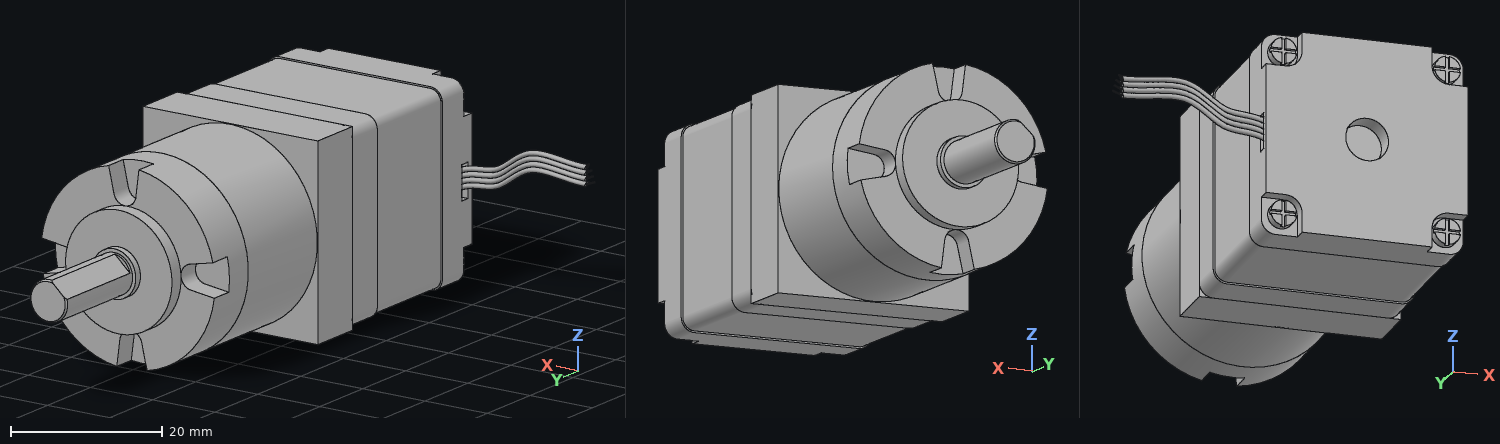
import cadquery as cq
import math


rear_cap_front = 7.0
stack_front = 22.1
motor_front = 27.95
adapter_front = 36.0
ring_front = 52.1
head_front = 59.9
boss_front = 62.0
collar_front = 63.1
flat_start = 63.6
shaft_tip = 78.5

motor_width = 28.2
motor_corner_radius = 2.0
stack_step = 0.2
rear_bore_diameter = 6.0
rear_bore_depth = 3.0

screw_inset = 2.7
screw_head_diameter = 3.6
screw_head_height = 1.4
screw_slot_width = 0.55
screw_slot_depth = 0.55
pocket_radius = 2.35
pocket_depth = 2.0

wire_count = 4
wire_diameter = 0.9
wire_pitch = 0.8
wire_y = 1.7
wire_slot_width = 1.4
wire_slot_height = 5.0
wire_slot_depth = 1.0
conductor_diameter = 0.15
conductor_rise = 0.5
conductor_overlap = 0.2
conductor_reaches = [0.4, 0.8, 1.0, 1.25]

adapter_width = 28.2
gearbox_diameter = 28.0
boss_diameter = 17.1
notch_count = 4
notch_half_angle = 10
notch_length = 3.4
first_notch_angle = 45

collar_diameter = 7.0
shaft_diameter = 6.0
shaft_flat_depth = 0.5
shaft_chamfer = 0.2
head_turn = 42.3

motor_side = motor_width / 2
screw_offset = motor_side - screw_inset
wire_end_x = -motor_side + wire_slot_depth
wire_tip_x = -33.7
wire_path = [
    (wire_end_x, 0.1),
    (-16.25, 0.95),
    (-19.15, 1.4),
    (-21.35, 2.75),
    (-24.3, 4.5),
    (-28.25, 4.6),
    (wire_tip_x, 4.15),
]


def section_at(y):
    """Sketch plane across the axis, with local x and y along X and Z."""
    return cq.Workplane("XZ", origin=(0, y, 0))


def disc(diameter, start, end):
    return section_at(start).circle(diameter / 2).extrude(start - end)


def square_block(width, start, end):
    return section_at(start).rect(width, width).extrude(start - end)


def rounded_block(width, radius, start, end):
    return square_block(width, start, end).edges("|Y").fillet(radius)


def make_motor_case():
    """Rear cap, slightly narrower lamination stack, and front cap."""
    rear_cap = rounded_block(motor_width, motor_corner_radius, 0, rear_cap_front)
    stack = rounded_block(
        motor_width - 2 * stack_step, motor_corner_radius - stack_step, rear_cap_front, stack_front
    )
    front_cap = rounded_block(motor_width, motor_corner_radius, stack_front, motor_front)
    rear_bore = disc(rear_bore_diameter, 0, rear_bore_depth)
    return rear_cap.union(stack).union(front_cap).cut(rear_bore)


def make_screw_pocket():
    """Corner pocket around the origin, open towards +X and +Z."""
    size = pocket_radius + screw_inset
    middle = screw_inset - size / 2
    pocket = section_at(0).center(middle, middle).rect(size, size).extrude(-pocket_depth)
    return pocket.edges("|Y and <X and <Z").fillet(pocket_radius)


def make_screw_head():
    """Cross-slotted head standing on the pocket floor."""
    top = pocket_depth - screw_head_height
    head = disc(screw_head_diameter, top, pocket_depth)
    for slot_size in [(screw_head_diameter, screw_slot_width), (screw_slot_width, screw_head_diameter)]:
        head = head.cut(section_at(top).rect(*slot_size).extrude(-screw_slot_depth))
    return head


def add_screws(case):
    place = cq.Vector(screw_offset, 0, screw_offset)
    pocket = make_screw_pocket().translate(place)
    head = make_screw_head().translate(place)
    for corner in range(4):
        turn = 90 * corner
        case = case.cut(pocket.rotate((0, 0, 0), (0, 1, 0), turn))
        case = case.union(head.rotate((0, 0, 0), (0, 1, 0), turn))
    return case


def make_wire_slot():
    middle_x = -motor_side + wire_slot_depth / 2
    return cq.Workplane("XY").box(wire_slot_depth, wire_slot_width, wire_slot_height).translate(
        (middle_x, wire_y, 0)
    )


def make_wire(z_shift, conductor_reach):
    """One wire and its bare end, which points outwards and up."""
    path = section_at(wire_y).spline([(x, z + z_shift) for x, z in wire_path])
    start_x, start_z = wire_path[0]
    profile = cq.Workplane("YZ", origin=(start_x, wire_y, start_z + z_shift)).circle(wire_diameter / 2)
    wire = profile.sweep(path)
    end = cq.Vector(wire_tip_x, wire_y, wire_path[-1][1] + z_shift)
    direction = cq.Vector(-conductor_reach, 0, conductor_rise).normalized()
    length = math.hypot(conductor_reach, conductor_rise) + conductor_overlap
    conductor = cq.Solid.makeCylinder(
        conductor_diameter / 2, length, end - direction * conductor_overlap, direction
    )
    return wire.union(cq.Workplane(conductor))


def make_motor():
    motor = add_screws(make_motor_case()).cut(make_wire_slot())
    for index, reach in enumerate(conductor_reaches):
        z_shift = ((wire_count - 1) / 2 - index) * wire_pitch
        motor = motor.union(make_wire(z_shift, reach))
    return motor


def make_adapter():
    return square_block(adapter_width, motor_front, adapter_front)


def make_ring():
    return disc(gearbox_diameter, adapter_front, ring_front)


def make_shaft():
    """Collar and D-shaped shaft standing on the boss of the output head."""
    collar = disc(collar_diameter, boss_front, collar_front)
    shaft = disc(shaft_diameter, collar_front, shaft_tip).faces(">Y").chamfer(shaft_chamfer)
    flat_length = shaft_tip - flat_start
    flat_cut = (
        section_at(flat_start)
        .center(0, shaft_diameter - shaft_flat_depth)
        .rect(shaft_diameter, shaft_diameter)
        .extrude(-flat_length)
    )
    return collar.union(shaft.cut(flat_cut))


def make_notch():
    """Notch in the rim around +X, with radial sides and a rounded inner end that reaches the boss."""
    half_angle = math.radians(notch_half_angle)
    round_center = boss_diameter / 2 / (1 - math.sin(half_angle))
    round_radius = round_center * math.sin(half_angle)
    side_start_x = round_center * math.cos(half_angle) ** 2
    side_end_x = gearbox_diameter / 2
    slope = math.tan(half_angle)
    return (
        section_at(head_front - notch_length)
        .moveTo(side_start_x, -side_start_x * slope)
        .lineTo(side_end_x, -side_end_x * slope)
        .lineTo(side_end_x, side_end_x * slope)
        .lineTo(side_start_x, side_start_x * slope)
        .threePointArc((round_center - round_radius, 0), (side_start_x, -side_start_x * slope))
        .close()
        .extrude(-notch_length)
    )


def make_output_head():
    """Front cover with notches in its rim, a boss, and the output shaft, all turned about the axis."""
    head = disc(gearbox_diameter, ring_front, head_front)
    head = head.union(disc(boss_diameter, head_front, boss_front))
    notch = make_notch()
    for index in range(notch_count):
        angle = first_notch_angle + index * 360 / notch_count
        head = head.cut(notch.rotate((0, 0, 0), (0, 1, 0), -angle))
    return head.union(make_shaft()).rotate((0, 0, 0), (0, 1, 0), -head_turn)


motor = make_motor()
adapter = make_adapter()
ring = make_ring()
output_head = make_output_head()

result = cq.Compound.makeCompound([motor.val(), adapter.val(), ring.val(), output_head.val()])